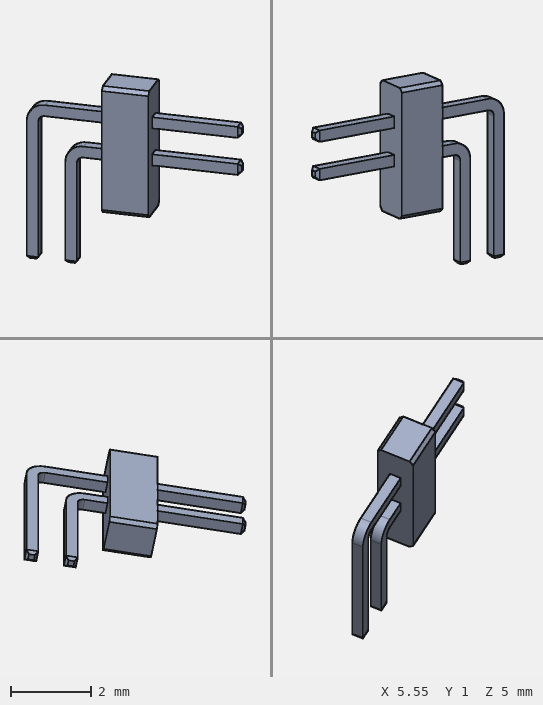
import cadquery as cq

total_length = 5.55
total_height = 5.0

body_length = 1.205
body_depth = 1.0
body_chamfer = 0.1
body_start = 2.05

pin_count = 2
pitch = 1.0
pin_width = 0.3
inner_bend_radius = 0.165
outer_bend_radius = inner_bend_radius + pin_width
tip_length = 0.085
tip_width = 0.15
pin_drop = 0.805
upper_pin_top = total_height - pin_drop
body_bottom = 1.6


def make_body():
    """Block whose four long edges, parallel to X, are chamfered."""
    body_height = total_height - body_bottom
    block = cq.Workplane("XY").box(body_length, body_depth, body_height, centered=(False, True, False))
    block = block.edges("|X").chamfer(body_chamfer)
    return block.translate((body_start, 0, body_bottom))


def make_tip(plane):
    """Short square taper from the pin section down to the tip face."""
    return (
        cq.Workplane(plane)
        .rect(pin_width, pin_width)
        .workplane(offset=tip_length)
        .rect(tip_width, tip_width)
        .loft(ruled=True)
    )


def make_pin(left, top):
    """Pin with a vertical leg, a right-angle bend and a horizontal leg."""
    half_width = pin_width / 2
    leg_end_z = tip_length
    leg_end_x = total_length - tip_length
    shaft = (
        cq.Workplane("XZ")
        .moveTo(left, leg_end_z)
        .lineTo(left, top - outer_bend_radius)
        .radiusArc((left + outer_bend_radius, top), outer_bend_radius)
        .lineTo(leg_end_x, top)
        .lineTo(leg_end_x, top - pin_width)
        .lineTo(left + outer_bend_radius, top - pin_width)
        .radiusArc((left + pin_width, top - outer_bend_radius), -inner_bend_radius)
        .lineTo(left + pin_width, leg_end_z)
        .close()
        .extrude(half_width, both=True)
    )
    lower_end = cq.Plane((left + half_width, 0, leg_end_z), xDir=(1, 0, 0), normal=(0, 0, -1))
    right_end = cq.Plane((leg_end_x, 0, top - half_width), xDir=(0, 1, 0), normal=(1, 0, 0))
    return shaft.union(make_tip(lower_end)).union(make_tip(right_end))


result = make_body()
for row in range(pin_count):
    step = row * pitch
    result = result.union(make_pin(step, upper_pin_top - step))